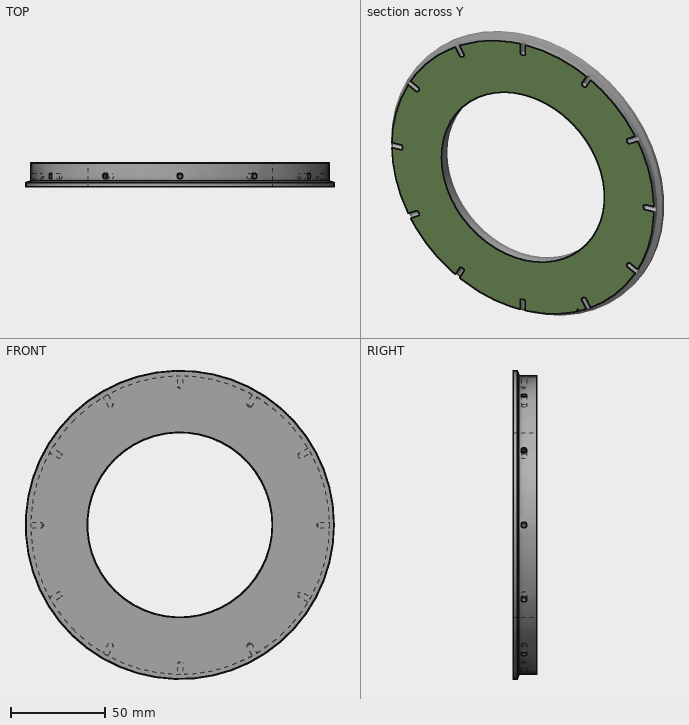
import cadquery as cq
import math

outer_diameter = 163.66
body_diameter = 158.4
bore_diameter = 98.0
total_width = 12.7
rim_width = 2.2
taper_width = 0.95

hole_count = 12
hole_diameter = 2.95
hole_depth = 6.0
drill_tip_angle = 118.0
hole_offset = 5.75
cutter_overlap = 1.0

outer_radius = outer_diameter / 2
body_radius = body_diameter / 2
bore_radius = bore_diameter / 2
hole_radius = hole_diameter / 2
y_flange = -total_width / 2
y_back = total_width / 2
y_rim = y_flange + rim_width
y_body = y_rim + taper_width
y_holes = y_flange + hole_offset


def make_ring():
    """Ring with a thin flange that tapers down to the body."""
    section = [
        (bore_radius, y_flange),
        (outer_radius, y_flange),
        (outer_radius, y_rim),
        (body_radius, y_body),
        (body_radius, y_back),
        (bore_radius, y_back),
    ]
    return cq.Workplane("XY").polyline(section).close().revolve(360, (0, 0, 0), (0, 1, 0))


def make_hole_cutter(angle):
    """Drill shape with a conical tip, entering the body at the given angle about Y."""
    tip_length = hole_radius / math.tan(math.radians(drill_tip_angle / 2))
    x_mouth = body_radius + cutter_overlap
    x_shoulder = body_radius - hole_depth
    profile = [
        (x_mouth, 0),
        (x_mouth, hole_radius),
        (x_shoulder, hole_radius),
        (x_shoulder - tip_length, 0),
    ]
    drill = cq.Workplane("XY").polyline(profile).close().revolve(360, (0, 0, 0), (1, 0, 0))
    return drill.translate((0, y_holes, 0)).rotate((0, 0, 0), (0, 1, 0), angle)


result = make_ring()
for index in range(hole_count):
    result = result.cut(make_hole_cutter(index * 360 / hole_count))